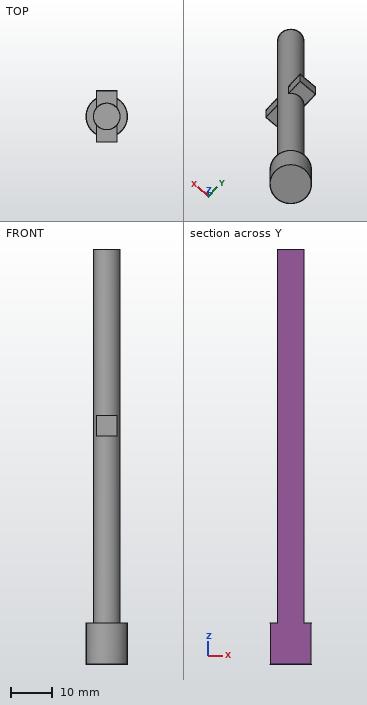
import cadquery as cq

total_height = 100.0
shaft_diameter = 6.4

foot_diameter = 10.0
foot_height = 10.0

bar_side = 5.0
bar_projection = 3.0
bar_length = shaft_diameter + 2 * bar_projection
bar_bottom = 55.0


def make_foot():
    return cq.Workplane("XY").circle(foot_diameter / 2).extrude(foot_height)


def make_shaft():
    return cq.Workplane("XY").circle(shaft_diameter / 2).extrude(total_height)


def make_cross_bar():
    return (
        cq.Workplane("XY", origin=(0, 0, bar_bottom))
        .rect(bar_side, bar_length)
        .extrude(bar_side)
    )


result = make_foot().union(make_shaft()).union(make_cross_bar())